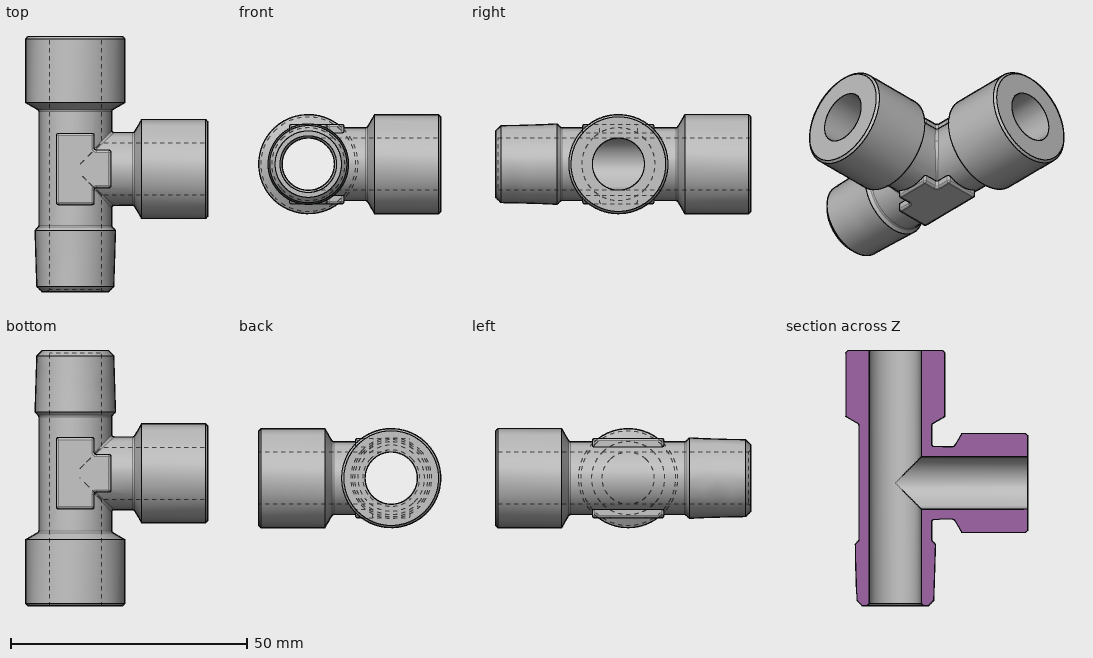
import cadquery as cq
import math


pipe_radius = 7.7
bore_radius = 5.5
edge_size = 0.5

female_reach = 28.0
female_radius = 21.0 / 2
female_length = 14.0
female_cone_angle = 30

run_length = 54
male_reach = run_length - female_reach
male_length = 13.0
male_base_radius = 8.55
male_taper = 1 / 32
male_tip_chamfer = 1.15

pad_height = 8.4
pad_half_width = 4.0
pad_half_length = 7.55


def make_arm(outline, foot_height):
    """Revolve an outline of (radius, height) points about Z and round the foot of its cone."""
    arm = cq.Workplane("XZ").polyline(outline).close().revolve(360, (0, 0), (0, 1))
    foot = cq.selectors.BoxSelector(
        (-pipe_radius, -pipe_radius, foot_height - edge_size / 2),
        (pipe_radius, pipe_radius, foot_height + edge_size / 2),
    )
    return arm.edges("%CIRCLE").edges(foot).fillet(edge_size)


def make_female_arm():
    shoulder = female_reach - female_length
    cone_foot = shoulder - (female_radius - pipe_radius) * math.tan(math.radians(female_cone_angle))
    outline = [
        (0, 0),
        (pipe_radius, 0),
        (pipe_radius, cone_foot),
        (female_radius, shoulder),
        (female_radius, female_reach - edge_size),
        (female_radius - edge_size, female_reach),
        (0, female_reach),
    ]
    return make_arm(outline, cone_foot)


def make_male_arm():
    shoulder = male_reach - male_length
    cone_foot = shoulder - (male_base_radius - pipe_radius)
    chamfer_radius = male_base_radius - (male_length - male_tip_chamfer) * male_taper
    outline = [
        (0, 0),
        (pipe_radius, 0),
        (pipe_radius, cone_foot),
        (male_base_radius, shoulder),
        (chamfer_radius, male_reach - male_tip_chamfer),
        (chamfer_radius - male_tip_chamfer, male_reach),
        (0, male_reach),
    ]
    return make_arm(outline, cone_foot)


def make_pads():
    """T-shaped prism through the crossing; its two ends stand out of the pipes as flats."""
    width = 2 * pad_half_width
    height = 2 * pad_height
    head = cq.Workplane("XY").box(width, 2 * pad_half_length, height)
    stem = cq.Workplane("XY").box(pad_half_length, width, height, centered=(False, True, True))
    prism = head.union(stem).edges("|Z").fillet(edge_size)
    return prism.faces("<Z or >Z").edges().fillet(edge_size)


def round_crotch(body):
    """Round the two seams between run and branch, between the upper and the lower pad."""
    seam = cq.selectors.BoxSelector(
        (0, -pipe_radius, -pad_half_width),
        (pipe_radius + edge_size, pipe_radius, pad_half_width),
    )
    return body.edges("%ELLIPSE").edges(seam).fillet(edge_size)


def cut_bores(body):
    """Bore all three arms and chamfer the mouth of the male end."""
    run_bore = cq.Workplane("XZ", origin=(0, -male_reach, 0)).circle(bore_radius).extrude(-run_length)
    branch_bore = cq.Workplane("YZ").circle(bore_radius).extrude(female_reach)
    bored = body.cut(run_bore).cut(branch_bore)
    male_mouth = bored.faces("<Y").edges(cq.selectors.RadiusNthSelector(0))
    return male_mouth.chamfer(edge_size)


arm_to_plus_y = make_female_arm().rotate((0, 0, 0), (1, 0, 0), -90)
arm_to_plus_x = make_female_arm().rotate((0, 0, 0), (0, 1, 0), 90)
arm_to_minus_y = make_male_arm().rotate((0, 0, 0), (1, 0, 0), 90)

run = arm_to_plus_y.union(arm_to_minus_y)
padded_tee = run.union(arm_to_plus_x).union(make_pads())
rounded_tee = round_crotch(padded_tee)
result = cut_bores(rounded_tee)